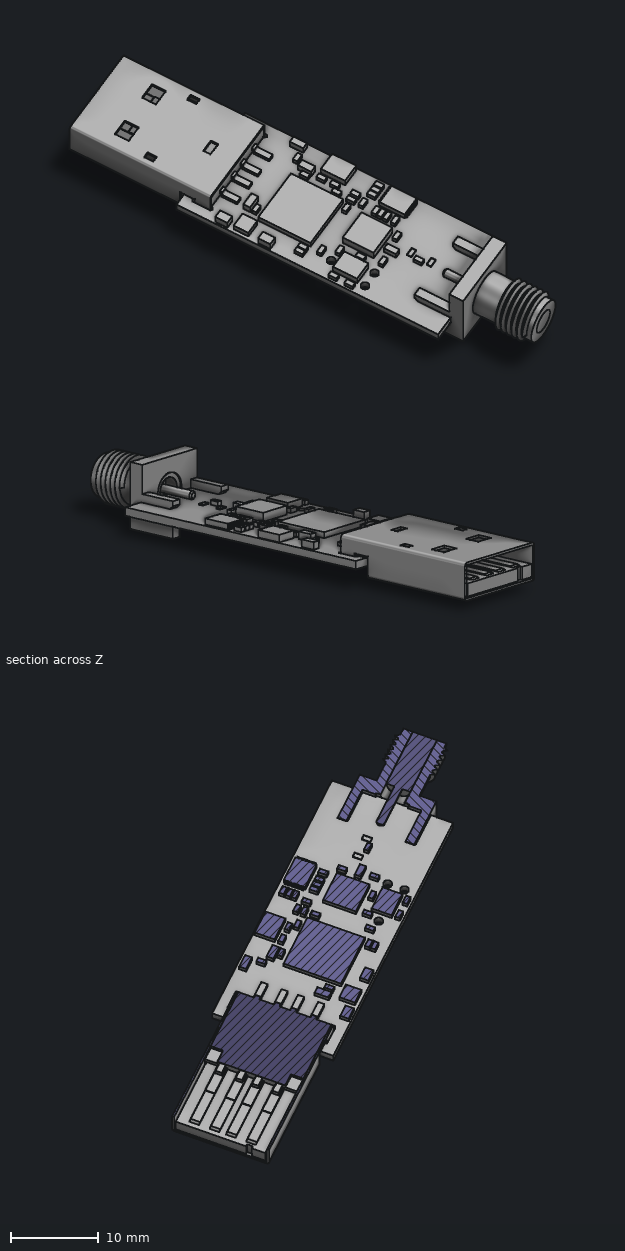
import cadquery as cq

total_length = 59.45

board_start = 15.15
board_end = 50.0
board_width = 15.0
board_thickness = 1.0
via_diameter = 1.0
via_centers = [(34.25, -5.0), (39.35, -3.9), (39.35, -6.0)]

shell_length = 18.7
shell_floor_length = 14.7
shell_width = 12.0
shell_top = 2.2
shell_height = 4.5
shell_wall = 0.3
shell_corner_radius = 0.4
shell_bottom = shell_top - shell_height
shell_skirt_clearance = 0.3
tab_start = 16.7
tab_drop = 1.5
tab_corner_radius = 0.6
latch_window_x = 4.9
latch_window_length = 1.85
latch_window_width = 2.2
latch_window_y = 3.0
side_window_x = 9.4
side_window_length = 1.2
side_window_width = 0.8
side_window_y = 4.7
rear_window_x = 14.7
rear_window_length = 0.95
rear_window_width = 1.65

tab_slot_width = 0.5
tab_slot_start = 16.35
tab_slot_end = 19.0
tab_slot_y = 5.95

tongue_top = -0.3
cavity_depth = 8.9
side_pocket_end = side_window_x + side_window_length
side_pocket_floor = 0.2
side_pocket_y = 4.2
key_groove_width = 0.7
key_groove_depth = 0.3
tongue_gap = 0.2
contact_centers = [-3.5, -1.0, 1.0, 3.5]
pad_width = 1.2
pad_start = 0.6
pad_ramp = 0.35
pad_front_top = -0.2
pad_step_x = 5.2
pad_rear_top = -0.05
contact_width = 0.8
contact_start = 7.7
contact_top = 0.5
contact_heel_bottom = contact_top
contact_heel_start = 18.9
contact_heel_end = 19.1
contact_heel_top = 0.9
contact_heel_radius = 0.2
contact_foot_end = 21.05
contact_foot_height = 0.4

pin_diameter = 1.0
axis_z = pin_diameter / 2
flange_start = 49.8
flange_thickness = 1.85
flange_width = 9.5
flange_height = 7.9
flange_end = flange_start + flange_thickness
flange_bottom = axis_z - flange_height / 2
leg_start = 45.15
leg_width = 1.1
upper_leg_height = 1.0
upper_leg_chamfer = 0.4
lower_leg_gap = 0.55
lower_leg_chamfer = 0.55
barrel_diameter = 5.35
thread_diameter = 6.35
thread_start = 54.6
thread_pitch = 0.7
thread_turns = 5.5
thread_base = 0.65
thread_root_overlap = 0.05
bore_diameter = 2.9
recess_diameter = 4.1
recess_depth = 0.2
pin_start = 46.25
pin_chamfer = 0.2

small_chip = (1.05, 0.6, 0.55)
small_chip_turned = (0.6, 1.05, 0.55)
flat_chip_turned = (0.6, 1.05, 0.1)
medium_chip = (1.8, 0.9, 0.9)
medium_chip_turned = (0.9, 1.8, 0.9)
diode = (1.6, 1.05, 0.95)
inductor = (1.6, 0.8, 0.7)
crystal = (3.2, 2.5, 0.9)
processor = (6.95, 7.15, 0.7)
regulator = (1.95, 1.95, 0.7)
amplifier = (3.4, 2.7, 0.7)
transceiver = (4.1, 4.1, 1.05)

amplifier_center = (36.6, 5.7)
lead_count = 6
lead_pitch = 0.4
lead_width = 0.25
lead_overhang = 0.2
lead_height = 0.55

chip_layout = [
    (small_chip, [
        (25.6, 3.4), (27.45, 4.05), (29.25, 4.05), (29.95, 3.2), (30.65, -5.3), (30.65, -6.0),
        (33.6, 6.55), (33.6, 5.75), (33.6, 5.05), (31.9, 4.1), (31.9, 3.2), (36.95, -3.05),
        (35.7, -6.9), (37.85, -6.9), (42.85, 0.0),
    ]),
    (small_chip_turned, [
        (23.65, 5.0), (23.35, -3.5), (33.3, 3.5), (32.05, 1.9), (35.1, 3.3), (35.85, 3.3),
        (36.6, 3.3), (37.7, 3.3), (39.0, 1.55), (39.45, -2.25), (34.45, -3.5), (32.7, -4.6),
    ]),
    (flat_chip_turned, [(41.5, 0.65), (44.1, 0.65)]),
    (medium_chip, [(22.8, 6.6), (25.3, 4.3)]),
    (medium_chip_turned, [(22.4, -3.15)]),
    (diode, [(21.0, -6.7), (26.7, -6.7)]),
    (inductor, [(39.5, -0.5)]),
    (crystal, [(28.5, 6.0), (36.8, -4.95)]),
    (processor, [(27.75, -1.0)]),
    (regulator, [(23.5, -6.05)]),
    (amplifier, [amplifier_center]),
    (transceiver, [(36.15, -0.2)]),
]


def block(x_range, y_range, z_range):
    """Box between two limits along each axis."""
    (x0, x1), (y0, y1), (z0, z1) = x_range, y_range, z_range
    return cq.Workplane("XY").box(x1 - x0, y1 - y0, z1 - z0, centered=False).translate((x0, y0, z0))


def centered_block(x_range, y_center, width, z_range):
    """Box of a given width across Y, centered on y_center."""
    return block(x_range, (y_center - width / 2, y_center + width / 2), z_range)


def rod(diameter, x0, x1):
    """Cylinder along the socket axis."""
    return cq.Workplane("YZ", origin=(x0, 0, axis_z)).circle(diameter / 2).extrude(x1 - x0)


def make_board():
    board = centered_block((board_start, board_end), 0, board_width, (-board_thickness, 0))
    tab_slots = (
        cq.Workplane("XY")
        .pushPoints([((tab_slot_start + tab_slot_end) / 2, side * tab_slot_y) for side in (-1, 1)])
        .slot2D(tab_slot_end - tab_slot_start, tab_slot_width)
        .extrude(-board_thickness)
    )
    vias = cq.Workplane("XY").pushPoints(via_centers).circle(via_diameter / 2).extrude(-board_thickness)
    board = board.cut(tab_slots).cut(vias)
    for (length, width, height), centers in chip_layout:
        chips = cq.Workplane("XY").pushPoints(centers).rect(length, width).extrude(height)
        board = board.union(chips)
    leads = (
        cq.Workplane("XY", origin=(*amplifier_center, 0))
        .rarray(0.6, lead_pitch, 1, lead_count)
        .rect(amplifier[0] + 2 * lead_overhang, lead_width)
        .extrude(lead_height)
    )
    return board.union(leads)


def shell_section(inset, length):
    """Rounded plug section, shrunk by inset on every side, extruded from the mouth."""
    center_z = shell_top - shell_height / 2
    return (
        cq.Workplane("YZ", origin=(0, 0, center_z))
        .rect(shell_width - 2 * inset, shell_height - 2 * inset)
        .extrude(length)
        .edges("|X")
        .fillet(shell_corner_radius - inset)
    )


def board_clearance(step_height):
    """Space for the board behind the shell floor, reaching up to step_height ahead of the tabs."""
    front = centered_block((shell_floor_length, tab_start), 0, board_width, (shell_bottom, step_height))
    rear = centered_block((tab_start, shell_length), 0, board_width, (shell_bottom, 0))
    return front.union(rear)


def make_shell():
    shell = shell_section(0, shell_length).cut(shell_section(shell_wall, shell_length))
    shell = shell.cut(board_clearance(shell_skirt_clearance))
    roof = (shell_top - shell_wall, shell_top)
    rear_window_end = rear_window_x + rear_window_length
    windows = [centered_block((rear_window_x, rear_window_end), 0, rear_window_width, roof)]
    for side in (-1, 1):
        windows.append(centered_block(
            (latch_window_x, latch_window_x + latch_window_length),
            side * latch_window_y, latch_window_width, roof,
        ))
        windows.append(centered_block(
            (side_window_x, side_window_x + side_window_length),
            side * side_window_y, side_window_width, roof,
        ))
    for window in windows:
        shell = shell.cut(window)
    for side in (-1, 1):
        tab_y = side * (shell_width - shell_wall) / 2
        tab_z = (-tab_drop, shell_skirt_clearance)
        tab = centered_block((tab_start, shell_length), tab_y, shell_wall, tab_z)
        shell = shell.union(tab.edges("|Y and <Z").fillet(tab_corner_radius))
    return shell


def side_profile(outline, y, width):
    """Outline in X and Z, extruded to a given width across Y, centered on y."""
    return cq.Workplane("XZ", origin=(0, y + width / 2, 0)).polyline(outline).close().extrude(width)


def make_contact_pad(y):
    """Wide flat part of a contact on the tongue, with a ramped tip and a small step."""
    return side_profile([
        (pad_start, tongue_top),
        (pad_start + pad_ramp, pad_front_top),
        (pad_step_x, pad_front_top),
        (pad_step_x, pad_rear_top),
        (cavity_depth, pad_rear_top),
        (cavity_depth, tongue_top),
    ], y, pad_width)


def make_contact_tail(y):
    """Raised rear part of a contact, which bends down behind the shell to a foot on the board."""
    tail = side_profile([
        (contact_start, tongue_top),
        (contact_start, contact_top),
        (shell_floor_length, contact_top),
        (shell_length, contact_heel_top),
        (contact_heel_end, contact_heel_top),
        (contact_heel_end, contact_foot_height),
        (contact_foot_end, contact_foot_height),
        (contact_foot_end, 0),
        (contact_heel_start, 0),
        (contact_heel_start, contact_heel_bottom),
        (shell_length, contact_heel_bottom),
        (shell_floor_length, 0),
        (shell_floor_length, tongue_top),
    ], y, contact_width)
    foot_corner = cq.selectors.NearestToPointSelector((contact_heel_end, y, contact_foot_height))
    return tail.edges("|Y").edges(foot_corner).fillet(contact_heel_radius)


def make_insulator():
    insulator = shell_section(shell_wall, shell_length).cut(board_clearance(0))
    insulator = insulator.cut(
        centered_block((0, cavity_depth), 0, shell_width, (shell_bottom, shell_top))
    )
    inner_clearance = shell_wall + tongue_gap
    tongue_width = shell_width - 2 * inner_clearance
    tongue = centered_block(
        (0, cavity_depth), 0, tongue_width, (shell_bottom + inner_clearance, tongue_top)
    )
    key_groove = centered_block(
        (0, key_groove_depth), contact_centers[0], key_groove_width, (shell_bottom, tongue_top)
    )
    insulator = insulator.union(tongue.cut(key_groove))
    pocket_width = shell_width / 2 - side_pocket_y
    for side in (-1, 1):
        pocket_y = side * (side_pocket_y + pocket_width / 2)
        insulator = insulator.cut(centered_block(
            (cavity_depth, side_pocket_end), pocket_y, pocket_width, (side_pocket_floor, shell_top)
        ))
    for y in contact_centers:
        insulator = insulator.union(make_contact_pad(y)).union(make_contact_tail(y))
    return insulator


def make_thread():
    """Triangular right-hand ridge wound around the barrel."""
    root_radius = barrel_diameter / 2 - thread_root_overlap
    helix = cq.Wire.makeHelix(thread_pitch, thread_pitch * thread_turns, root_radius)
    ridge = (
        cq.Workplane("XZ")
        .polyline([
            (root_radius, -thread_base / 2),
            (thread_diameter / 2, 0),
            (root_radius, thread_base / 2),
        ])
        .close()
        .sweep(cq.Workplane(helix), isFrenet=True)
    )
    start_on_side = ridge.rotate((0, 0, 0), (0, 0, 1), 90)
    return start_on_side.rotate((0, 0, 0), (0, 1, 0), 90).translate((thread_start, 0, axis_z))


def make_socket():
    flange = centered_block(
        (flange_start, flange_end), 0, flange_width, (flange_bottom, flange_bottom + flange_height)
    )
    socket = flange.union(rod(barrel_diameter, flange_end, total_length)).union(make_thread())
    leg_x = (leg_start, flange_start)
    lower_leg_top = -board_thickness - lower_leg_gap
    for side in (-1, 1):
        leg_y = side * (flange_width - leg_width) / 2
        upper_leg = centered_block(leg_x, leg_y, leg_width, (0, upper_leg_height))
        lower_leg = centered_block(leg_x, leg_y, leg_width, (flange_bottom, lower_leg_top))
        socket = socket.union(upper_leg.edges("<X and <Z").chamfer(upper_leg_chamfer))
        socket = socket.union(lower_leg.edges("<X and >Z").chamfer(lower_leg_chamfer))
    board_seat = centered_block((flange_start, board_end), 0, flange_width, (-board_thickness, 0))
    bore = rod(bore_diameter, flange_start, total_length)
    recess = rod(recess_diameter, flange_start, flange_start + recess_depth)
    return socket.cut(board_seat).cut(bore).cut(recess)


def make_center_pin():
    """Center pin with the collar that holds it in the barrel bore."""
    pin = rod(pin_diameter, pin_start, total_length).faces("<X").chamfer(pin_chamfer)
    return pin.union(rod(bore_diameter, flange_end, total_length))


board = make_board()
shell = make_shell()
insulator = make_insulator()
socket = make_socket()
center_pin = make_center_pin()

result = cq.Compound.makeCompound(
    [body.solids().val() for body in (board, shell, insulator, socket, center_pin)]
)